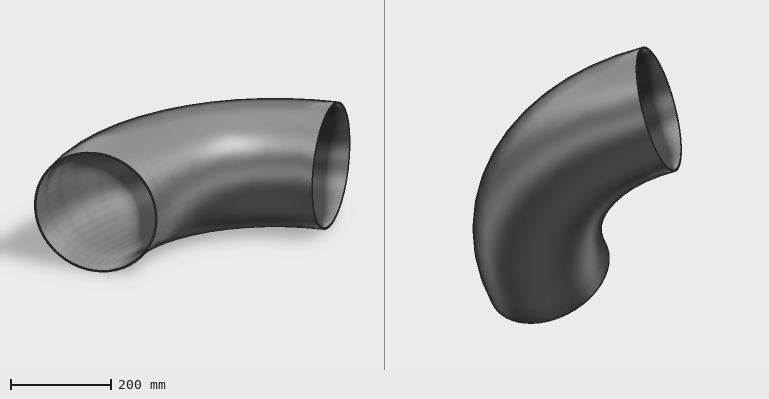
import cadquery as cq

overall_length = 503.0
outer_diameter = 256.0
wall_thickness = 3.0
bend_angle = 90.0

outer_radius = outer_diameter / 2
inner_radius = outer_radius - wall_thickness
bend_radius = overall_length - outer_radius


def make_elbow():
    """Revolve the ring section about the Z axis, which is the bend axis.

    The section lies in the XZ plane on the -X side, so one end faces -Y
    and the other end faces +X.
    """
    section = (
        cq.Workplane("XZ")
        .center(-bend_radius, 0)
        .circle(outer_radius)
        .circle(inner_radius)
    )
    axis_start = (bend_radius, 0)
    axis_end = (bend_radius, -1)
    return section.revolve(bend_angle, axis_start, axis_end)


result = make_elbow()